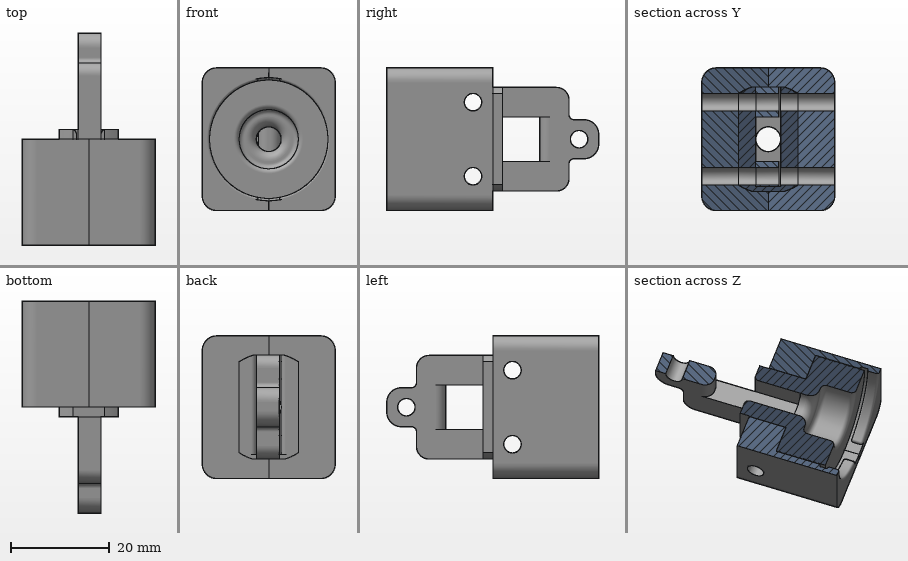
import cadquery as cq
import math


HOUSING_WIDTH = 27.0
HOUSING_HEIGHT = 29.0
HOUSING_DEPTH = 21.5
HOUSING_CORNER_RADIUS = 3.0

GROOVE_DIAMETER = 25.0
HEAD_DIAMETER = 24.0
RIB_DEPTH = 2.5
MOUTH_ROUNDING = 0.47
SEAT_FRONT = 4.0
NOTCH_ANGLE = 20.0

HEAD_FRONT = 3.0
HEAD_BACK = 13.5
SHANK_BACK = 23.48
SHANK_DIAMETER = 22.0
SHANK_WIDTH = 12.05
BLADE_HEIGHT = 21.05
SLOT_WIDTH = 5.0
SLOT_FLOOR_THICKNESS = 1.0
SLOT_MOUTH_RADIUS = 1.0
BORE_RADIUS = 12.0 / 2
BORE_DEPTH = 7.0
BORE_ROUNDING = 1.0
CORD_HOLE_RADIUS = 5.0 / 2
CORD_HOLE_ROUNDING = 2.0

BLADE_THICKNESS = 4.65
BLADE_SHOULDER = 37.0
BLADE_CORNER_RADIUS = 2.62
TAB_TIP = 43.0
TAB_HEIGHT = 7.95
TAB_CORNER_RADIUS = 3.0
TAB_ROOT_RADIUS = 1.0
TAB_HOLE_SETBACK = 4.0
WINDOW_HEIGHT = 8.95
WINDOW_END = 33.0
WINDOW_NOSE_RADIUS = 1.98

CROSS_HOLE_DIAMETER = 3.5
CROSS_HOLE_Y = 17.5
CROSS_HOLE_SPACING = 15.0


def box(x_range, y_range, z_range):
    """Box between the given limits along X, Y and Z."""
    corner = cq.Vector(x_range[0], y_range[0], z_range[0])
    sizes = [high - low for low, high in (x_range, y_range, z_range)]
    return cq.Workplane(cq.Solid.makeBox(*sizes, corner))


def centred(size):
    """Limits of a length centred on zero."""
    return (-size / 2, size / 2)


def cylinder_y(diameter, start, end):
    """Cylinder on the main axis between two Y positions."""
    return cq.Workplane(
        cq.Solid.makeCylinder(diameter / 2, end - start, cq.Vector(0, start, 0), cq.Vector(0, 1, 0))
    )


def cylinder_x(diameter, y, z):
    """Cylinder parallel to X, as long as the housing is wide."""
    start = cq.Vector(-HOUSING_WIDTH / 2, y, z)
    return cq.Workplane(
        cq.Solid.makeCylinder(diameter / 2, HOUSING_WIDTH, start, cq.Vector(1, 0, 0))
    )


def cut_cross_holes(body):
    """Cut the two pin holes through a body."""
    for z in centred(CROSS_HOLE_SPACING):
        body = body.cut(cylinder_x(CROSS_HOLE_DIAMETER, CROSS_HOLE_Y, z))
    return body


def shank_block(start, end):
    """Round bar with flats on all four sides."""
    flats = box(centred(SHANK_WIDTH), (start, end), centred(BLADE_HEIGHT))
    return cylinder_y(SHANK_DIAMETER, start, end).intersect(flats)


def make_cavity():
    """Hollow of the housing: groove, seat for the head with a rounded rim, and shank opening."""
    groove = cylinder_y(GROOVE_DIAMETER, 0, SEAT_FRONT)
    cavity = groove.union(cylinder_y(HEAD_DIAMETER, SEAT_FRONT, HEAD_BACK))
    seat_rim = cavity.edges(cq.selectors.RadiusNthSelector(0)).edges("<Y")
    cavity = seat_rim.fillet(MOUTH_ROUNDING)
    return cavity.union(shank_block(HEAD_BACK, HOUSING_DEPTH))


def make_rib():
    """Rib of the +X half, rounded at its front, back and both ends."""
    inner_radius = HEAD_DIAMETER / 2
    thickness = GROOVE_DIAMETER / 2 - inner_radius
    section = cq.Workplane("XY").center(inner_radius, 0).rect(thickness, RIB_DEPTH, centered=False)
    arc_angle = 180 - NOTCH_ANGLE
    rib = section.revolve(arc_angle, (-inner_radius, 0, 0), (-inner_radius, 1, 0))
    rib = rib.rotate((0, 0, 0), (0, 1, 0), -arc_angle / 2)

    half_angle = math.radians(arc_angle / 2)
    end_x = inner_radius * math.cos(half_angle)
    end_z = inner_radius * math.sin(half_angle)
    for z in (-end_z, end_z):
        end_edge = cq.selectors.NearestToPointSelector((end_x, RIB_DEPTH / 2, z))
        rib = rib.edges(end_edge).fillet(MOUTH_ROUNDING)

    bore_edges = rib.edges("%CIRCLE").edges(cq.selectors.RadiusNthSelector(1))
    return bore_edges.fillet(MOUTH_ROUNDING)


def make_housing_half(side):
    """Housing half on the +X side (side = 1) or the -X side (side = -1)."""
    half = box(centred(HOUSING_WIDTH), (0, HOUSING_DEPTH), centred(HOUSING_HEIGHT))
    half = half.edges("|Y").fillet(HOUSING_CORNER_RADIUS)
    half = half.intersect(box((0, HOUSING_WIDTH / 2), (0, HOUSING_DEPTH), centred(HOUSING_HEIGHT)))
    half = half.cut(make_cavity()).union(make_rib())
    half = cut_cross_holes(half)
    return half if side > 0 else half.mirror("YZ")


def make_bore():
    """Stepped bore: rounded mouth, rounded floor corner and a funnel into the cord hole."""
    floor = HEAD_FRONT + BORE_DEPTH
    mouth_radius = BORE_RADIUS + BORE_ROUNDING
    floor_radius = BORE_RADIUS - BORE_ROUNDING
    funnel_radius = CORD_HOLE_RADIUS + CORD_HOLE_ROUNDING
    diagonal = math.sqrt(0.5)
    profile = (
        cq.Workplane("XY")
        .moveTo(0, HEAD_FRONT)
        .lineTo(mouth_radius, HEAD_FRONT)
        .threePointArc(
            (mouth_radius - BORE_ROUNDING * diagonal, HEAD_FRONT + BORE_ROUNDING * (1 - diagonal)),
            (BORE_RADIUS, HEAD_FRONT + BORE_ROUNDING),
        )
        .lineTo(BORE_RADIUS, floor - BORE_ROUNDING)
        .threePointArc(
            (floor_radius + BORE_ROUNDING * diagonal, floor - BORE_ROUNDING * (1 - diagonal)),
            (floor_radius, floor),
        )
        .lineTo(funnel_radius, floor)
        .threePointArc(
            (
                funnel_radius - CORD_HOLE_ROUNDING * diagonal,
                floor + CORD_HOLE_ROUNDING * (1 - diagonal),
            ),
            (CORD_HOLE_RADIUS, floor + CORD_HOLE_ROUNDING),
        )
        .lineTo(CORD_HOLE_RADIUS, HEAD_BACK)
        .lineTo(0, HEAD_BACK)
        .close()
    )
    return profile.revolve(360, (0, 0, 0), (0, 1, 0))


def make_holder():
    """Head and shank, whose slot is open at the top and closed by a floor at the bottom."""
    holder = cylinder_y(HEAD_DIAMETER, HEAD_FRONT, HEAD_BACK)
    holder = holder.union(shank_block(HEAD_BACK, SHANK_BACK))
    holder = holder.cut(make_bore())
    slot_height = (SLOT_FLOOR_THICKNESS - BLADE_HEIGHT / 2, BLADE_HEIGHT / 2)
    holder = holder.cut(box(centred(SLOT_WIDTH), (HEAD_BACK, SHANK_BACK), slot_height))
    for x in centred(SLOT_WIDTH):
        mouth_edge = cq.selectors.NearestToPointSelector((x, SHANK_BACK, 0))
        holder = holder.edges(mouth_edge).fillet(SLOT_MOUTH_RADIUS)
    return cut_cross_holes(holder)


def make_blade():
    """Fork-shaped blade in the slot, with its lower arm cut back above the slot floor."""
    right = SLOT_WIDTH / 2
    thickness = (right - BLADE_THICKNESS, right)

    plate = box(thickness, (HEAD_BACK, BLADE_SHOULDER), centred(BLADE_HEIGHT))
    plate = plate.edges("|X and >Y").fillet(BLADE_CORNER_RADIUS)
    tab = box(thickness, (WINDOW_END, TAB_TIP), centred(TAB_HEIGHT))
    tab = tab.edges("|X and >Y").fillet(TAB_CORNER_RADIUS)
    blade = plate.union(tab)
    for z in centred(TAB_HEIGHT):
        tab_root = cq.selectors.NearestToPointSelector((sum(thickness) / 2, BLADE_SHOULDER, z))
        blade = blade.edges(tab_root).fillet(TAB_ROOT_RADIUS)

    nose_tip = WINDOW_END - WINDOW_NOSE_RADIUS
    nose = box(thickness, (nose_tip, BLADE_SHOULDER), centred(WINDOW_HEIGHT))
    nose = nose.edges("|Z and <Y").fillet(WINDOW_NOSE_RADIUS)
    window = box(thickness, (HEAD_BACK, WINDOW_END), centred(WINDOW_HEIGHT)).cut(nose)

    blade = blade.cut(window)

    bottom = -BLADE_HEIGHT / 2
    blade = blade.cut(box(thickness, (HEAD_BACK, SHANK_BACK), (bottom, bottom + SLOT_FLOOR_THICKNESS)))
    blade = blade.cut(cylinder_x(CROSS_HOLE_DIAMETER, TAB_TIP - TAB_HOLE_SETBACK, 0))
    return cut_cross_holes(blade)


housing_halves = [make_housing_half(side) for side in (-1, 1)]
holder = make_holder()
blade = make_blade()

result = cq.Compound.makeCompound(
    [*[half.val() for half in housing_halves], holder.val(), blade.val()]
)